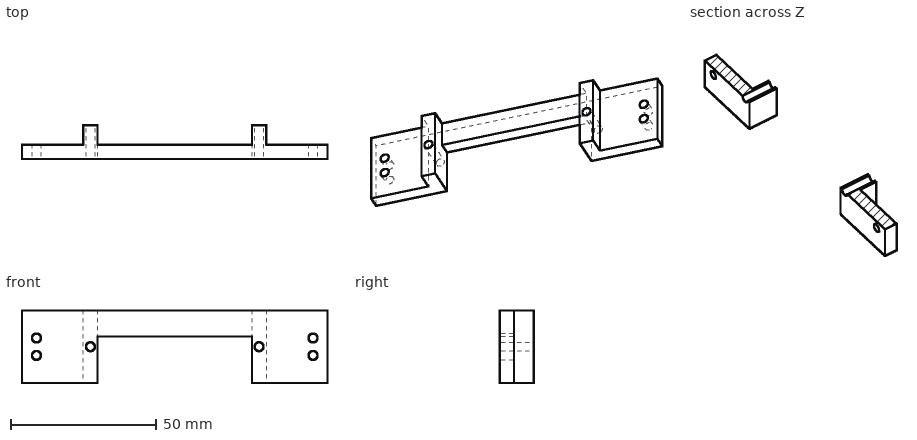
import cadquery as cq

length = 105.1
height = 25.0
plate_thickness = 5.0
overall_depth = 11.72

rib_width = 5.0
rib_spacing = 58.0
rib_depth = overall_depth - plate_thickness

bridge_height = 9.0
opening_width = rib_spacing - rib_width
opening_height = height - bridge_height

hole_diameter = 3.0
end_hole_margin = 5.0
end_hole_spacing = length - 2 * end_hole_margin
end_hole_pitch = 6.0
hole_center_height = height / 2


def make_block(width, depth, block_height):
    """Block centred on X, with its front face on Y = 0 and its bottom on Z = 0."""
    return cq.Workplane("XY").box(width, depth, block_height, centered=(True, False, False))


def make_plate():
    """Plate with the bottom opening that leaves a bridge between two legs."""
    plate = make_block(length, plate_thickness, height)
    return plate.cut(make_block(opening_width, plate_thickness, opening_height))


def make_rib(x):
    """Full-height rib on the rear face of the plate."""
    return make_block(rib_width, rib_depth, height).translate((x, plate_thickness, 0))


def make_hole(x, z):
    """Cylinder along Y through the whole depth of the part."""
    return cq.Workplane("XZ").center(x, z).circle(hole_diameter / 2).extrude(-overall_depth)


result = make_plate()
for side in (-1, 1):
    rib_x = side * rib_spacing / 2
    end_hole_x = side * end_hole_spacing / 2
    result = result.union(make_rib(rib_x))
    result = result.cut(make_hole(rib_x, hole_center_height))
    for direction in (-1, 1):
        end_hole_z = hole_center_height + direction * end_hole_pitch / 2
        result = result.cut(make_hole(end_hole_x, end_hole_z))